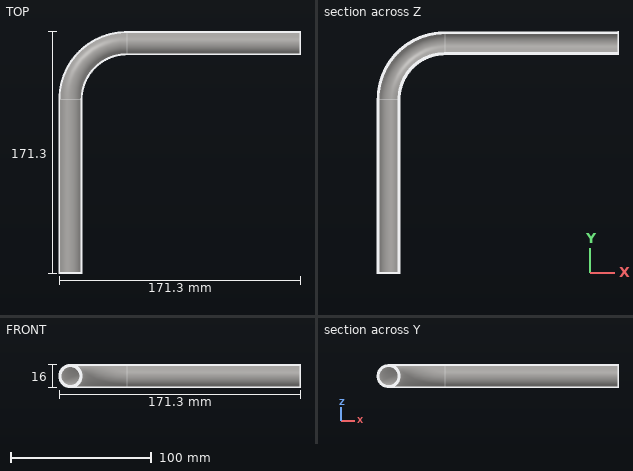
import cadquery as cq
import math

outer_diameter = 16.0
inner_diameter = 14.0
overall_length = 171.3
bend_radius = 40.0

leg_length = overall_length - bend_radius - outer_diameter / 2

arc_midpoint = bend_radius * (1 - math.sqrt(0.5))
leg_end = bend_radius + leg_length


def centreline():
    return (
        cq.Workplane("XY")
        .moveTo(0, -leg_end)
        .lineTo(0, -bend_radius)
        .threePointArc((arc_midpoint, -arc_midpoint), (bend_radius, 0))
        .lineTo(leg_end, 0)
    )


def tube():
    """Sweep the ring section from the open end of the Y leg to that of the X leg."""
    section_plane = cq.Plane(origin=(0, -leg_end, 0), xDir=(1, 0, 0), normal=(0, 1, 0))
    section = (
        cq.Workplane(section_plane)
        .circle(outer_diameter / 2)
        .circle(inner_diameter / 2)
    )
    return section.sweep(centreline())


result = tube()